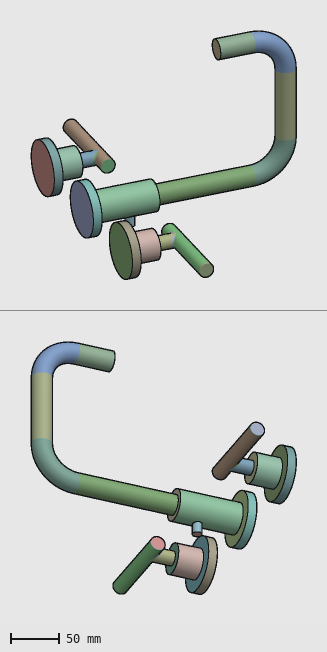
import cadquery as cq

overall_width = 355.0
overall_depth = 241.0
overall_height = 196.7

flange_diameter = 60.5
flange_thickness = 10.0

collar_diameter = 34.8
collar_end = 80.5
tube_diameter = 22.5
bend_radius = 38.5
tip_distance = 152.0
pin_diameter = 10.3
pin_distance = 54.3
pin_drop = 29.0

handle_offset = 101.5
hub_diameter = 33.7
hub_end = 38.0
lever_diameter = 16.5
stem_diameter = 16.0
lever_length = 99.0
lever_distance = 64.0
stem_fillet = 2.5
lever_end_fillet = 0.7

tube_reach = overall_depth - tube_diameter / 2
tube_rise = overall_height - flange_diameter / 2 - tube_diameter / 2


def cylinder(diameter, length, start, direction):
    """Solid cylinder running from start along direction."""
    return cq.Workplane(
        cq.Solid.makeCylinder(diameter / 2, length, cq.Vector(*start), cq.Vector(*direction))
    )


def flange(x):
    """Round wall flange centred at x."""
    return cylinder(flange_diameter, flange_thickness, (x, 0, 0), (0, 1, 0))


def spout_tube():
    """Tube that leaves the collar, turns up and turns back towards the wall."""
    centreline = (
        cq.Workplane("YZ", origin=(0, collar_end, 0))
        .lineTo(tube_reach - bend_radius - collar_end, 0)
        .radiusArc((tube_reach - collar_end, bend_radius), -bend_radius)
        .lineTo(tube_reach - collar_end, tube_rise - bend_radius)
        .radiusArc((tube_reach - bend_radius - collar_end, tube_rise), -bend_radius)
        .lineTo(tip_distance - collar_end, tube_rise)
    )
    return (
        cq.Workplane("XZ", origin=(0, collar_end, 0))
        .circle(tube_diameter / 2)
        .sweep(centreline)
    )


def make_spout():
    """Flange, collar, bent tube and the pin below the collar."""
    collar = cylinder(collar_diameter, collar_end, (0, 0, 0), (0, 1, 0))
    pin = cylinder(pin_diameter, pin_drop, (0, pin_distance, 0), (0, 0, -1))
    return flange(0).union(collar).union(pin).union(spout_tube())


def make_handle(side):
    """Handle at side * handle_offset, with its lever pointing outwards."""
    x = side * handle_offset
    hub = cylinder(hub_diameter, hub_end, (x, 0, 0), (0, 1, 0))
    stem = cylinder(stem_diameter, lever_distance, (x, 0, 0), (0, 1, 0))
    lever = cylinder(
        lever_diameter, lever_length, (side * overall_width / 2, lever_distance, 0), (-side, 0, 0)
    )
    lever = lever.edges("%CIRCLE").fillet(lever_end_fillet)
    saddle = cq.selectors.BoxSelector(
        (x - lever_diameter, hub_end + stem_fillet, -lever_diameter),
        (x + lever_diameter, lever_distance, lever_diameter),
    )
    grip = stem.union(lever).edges(saddle).fillet(stem_fillet)
    return flange(x).union(hub).union(grip)


spout = make_spout()
handles = [make_handle(side) for side in (-1, 1)]

result = cq.Compound.makeCompound([spout.val(), *[handle.val() for handle in handles]])